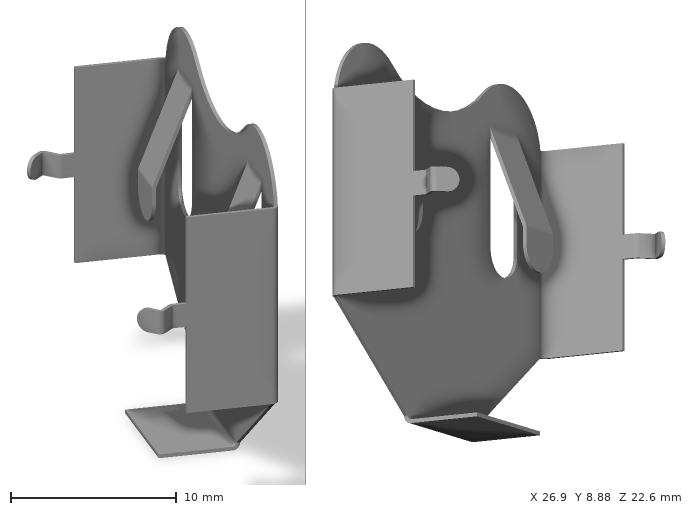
import cadquery as cq
import math

thickness = 0.25
half_sheet = thickness / 2
bend_inner = 0.25
bend_outer = bend_inner + thickness

total_width = 26.9
total_depth = 8.88
total_height = 22.62

wall_span = 25.37
wall_depth = 5.85
wall_bottom = 6.48
wall_height = 12.72
wall_top = wall_bottom + wall_height
wall_middle = wall_bottom + wall_height / 2
wall_outer = wall_span / 2
plate_half = wall_outer - bend_outer

flange_width = 7.53
flange_depth = 5.1

lobe_x = 8.12
scoop_bottom = 19.83

tongue_x = 7.8
tongue_width = 3.17
tongue_top = 19.85
tongue_reach = 2.75
tongue_bend_top = 19.65
tongue_bend_low = 13.45
tongue_root_radius = 0.85
slot_bottom = 10.73
tongue_gap = 0.1

clip_width = 1.5
clip_bend_depth = 6.78
clip_crest_inner = 0.1


def unit(start, end):
    """Unit direction from one point to another in a section plane."""
    length = math.dist(start, end)
    return (end[0] - start[0]) / length, (end[1] - start[1]) / length


def beside(point, heading, offset):
    """Point moved sideways, to the left of the heading when the offset is positive."""
    return point[0] - offset * heading[1], point[1] + offset * heading[0]


def bend_arc(before, corner, after, inner_radius, offset):
    """Start, middle and end of the arc that rounds a corner at an offset from the centreline."""
    arriving = unit(before, corner)
    leaving = unit(corner, after)
    turn = math.copysign(1, arriving[0] * leaving[1] - arriving[1] * leaving[0])
    half_turn = math.acos(arriving[0] * leaving[0] + arriving[1] * leaving[1]) / 2
    inward = unit(arriving, leaving)
    middle_radius = inner_radius + half_sheet
    span = middle_radius / math.cos(half_turn)
    centre = (corner[0] + span * inward[0], corner[1] + span * inward[1])
    radius = middle_radius - turn * offset
    return [
        beside(centre, arriving, -turn * radius),
        (centre[0] - radius * inward[0], centre[1] - radius * inward[1]),
        beside(centre, leaving, -turn * radius),
    ]


def sheet_side(centreline, inner_radii, offset):
    """One side of a bent sheet: its start point, one arc per bend, its end point."""
    corners = zip(centreline, centreline[1:], centreline[2:], inner_radii)
    arcs = [bend_arc(before, corner, after, radius, offset) for before, corner, after, radius in corners]
    start = beside(centreline[0], unit(*centreline[:2]), offset)
    end = beside(centreline[-1], unit(*centreline[-2:]), offset)
    return [[start]] + arcs + [[end]]


def bent_sheet(plane, centreline, inner_radii, width):
    """Sheet along a centreline with rounded bends, extruded evenly to both sides of the plane."""
    there = sheet_side(centreline, inner_radii, half_sheet)
    back = sheet_side(centreline, inner_radii, -half_sheet)
    pieces = there + [piece[::-1] for piece in reversed(back)]
    section = cq.Workplane(plane).moveTo(*pieces[0][0])
    for start, *arc in pieces[1:]:
        section = section.lineTo(*start)
        if arc:
            section = section.threePointArc(*arc)
    return section.close().extrude(width / 2, both=True)


def back_plate():
    side = plate_half - lobe_x
    drop = total_height - wall_top
    lobe_radius = (side**2 + drop**2) / (2 * drop)
    lobe_z = total_height - lobe_radius
    rise = scoop_bottom - lobe_z
    scoop_radius = (lobe_x**2 + rise**2 - lobe_radius**2) / (2 * (lobe_radius - rise))
    blend = lobe_radius / (lobe_radius + scoop_radius)
    blend_x = lobe_x * (1 - blend)
    blend_z = lobe_z + (rise + scoop_radius) * blend
    return (
        cq.Workplane("XZ")
        .moveTo(-flange_width / 2, bend_outer)
        .lineTo(flange_width / 2, bend_outer)
        .lineTo(plate_half, wall_bottom)
        .lineTo(plate_half, wall_top)
        .threePointArc((lobe_x, total_height), (blend_x, blend_z))
        .threePointArc((0, scoop_bottom), (-blend_x, blend_z))
        .threePointArc((-lobe_x, total_height), (-plate_half, wall_top))
        .lineTo(-plate_half, wall_bottom)
        .close()
        .extrude(thickness)
    )


def left_wall():
    centreline = [
        (bend_outer - plate_half, -half_sheet),
        (half_sheet - wall_outer, -half_sheet),
        (half_sheet - wall_outer, -wall_depth),
    ]
    return bent_sheet("XY", centreline, [bend_inner], wall_height).translate((0, 0, wall_middle))


def bottom_flange():
    centreline = [
        (-half_sheet, 2 * bend_outer),
        (-half_sheet, half_sheet),
        (-flange_depth, half_sheet),
    ]
    return bent_sheet("YZ", centreline, [bend_inner], flange_width)


def rounded_strip(bottom, depth):
    """Tongue-wide block behind an XZ outline with a full round lower end."""
    radius = tongue_width / 2
    return (
        cq.Workplane("XZ")
        .moveTo(-radius, tongue_top)
        .lineTo(-radius, bottom + radius)
        .threePointArc((0, bottom), (radius, bottom + radius))
        .lineTo(radius, tongue_top)
        .close()
        .extrude(depth)
    )


def tongue():
    """Tongue that leans out of the plate and ends in a rounded tip parallel to it."""
    centreline = [
        (-half_sheet, tongue_top),
        (-half_sheet, tongue_bend_top),
        (half_sheet - tongue_reach, tongue_bend_low),
        (half_sheet - tongue_reach, slot_bottom),
    ]
    strip = bent_sheet("YZ", centreline, [tongue_root_radius, bend_inner], tongue_width)
    return strip.intersect(rounded_strip(slot_bottom + tongue_gap, tongue_reach))


def left_clip():
    """V-shaped clip: out from the wall at 45 degrees, then back in to a rounded tip."""
    diagonal = math.sqrt(0.5)
    wall_x = half_sheet - wall_outer
    crest_overshoot = (clip_crest_inner + half_sheet) * (1 / diagonal - 1)
    crest_x = half_sheet - total_width / 2 - crest_overshoot
    crest_y = -clip_bend_depth - (wall_x - crest_x)
    tip_y = half_sheet * diagonal - total_depth
    tip_x = crest_x + (crest_y - tip_y)
    centreline = [
        (wall_x, thickness - wall_depth),
        (wall_x, -clip_bend_depth),
        (crest_x, crest_y),
        (tip_x, tip_y),
    ]
    strip = bent_sheet("XY", centreline, [bend_inner, clip_crest_inner], clip_width)
    radius = clip_width / 2
    tip_plane = cq.Plane(
        origin=(tip_x, tip_y, 0),
        xDir=(diagonal, -diagonal, 0),
        normal=(diagonal, diagonal, 0),
    )
    tip = cq.Workplane(tip_plane)
    round_end = tip.center(-radius, 0).circle(radius).extrude(thickness, both=True)
    tip_corners = tip.rect(2 * radius, clip_width).extrude(thickness, both=True).cut(round_end)
    return strip.cut(tip_corners).translate((0, 0, wall_middle))


result = back_plate().union(bottom_flange())

left_side = left_wall().union(left_clip())
result = result.union(left_side).union(left_side.mirror("YZ"))

for x in (-tongue_x, tongue_x):
    result = result.cut(rounded_strip(slot_bottom, thickness).translate((x, 0, 0)))
    result = result.union(tongue().translate((x, 0, 0)))

result = result.clean()